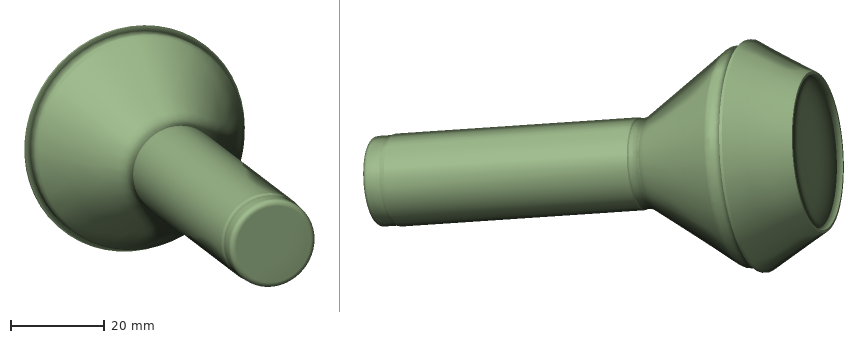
import cadquery as cq

length = 100.0

cap_length = 13.9
rim_width = 0.6
rim_radius = 25.1
cap_front_radius = 17.4
opening_radius = 16.8

face_depth = 1.2
face_radius = 16.3
head_radius = 48.0 / 2
head_shoulder = 17.1
taper_end = 37.8
head_fillet = 2.5
neck_fillet = 3.0

shaft_radius = 20.0 / 2
neck_radius = 19.5 / 2
shaft_start = 39.9
shaft_end = 94.9
shaft_chamfer = shaft_radius - neck_radius
tail_start = 95.9
tail_fillet = 1.2


def revolve_about_x(profile):
    return profile.close().revolve(360, (0, 0, 0), (1, 0, 0))


def make_cap():
    """Tapered ring that fits around the front of the head."""
    profile = (
        cq.Workplane("XY")
        .moveTo(0, opening_radius)
        .lineTo(0, cap_front_radius)
        .lineTo(cap_length - rim_width, rim_radius)
        .lineTo(cap_length, rim_radius)
        .lineTo(cap_length, head_radius)
        .lineTo(face_depth, face_radius)
    )
    return revolve_about_x(profile)


def make_handle():
    """Head, neck, shaft and tail in one turned piece."""
    profile = (
        cq.Workplane("XY")
        .moveTo(face_depth, 0)
        .lineTo(face_depth, face_radius)
        .lineTo(cap_length, head_radius)
        .lineTo(head_shoulder, head_radius)
        .lineTo(taper_end, neck_radius)
        .lineTo(shaft_start - shaft_chamfer, neck_radius)
        .lineTo(shaft_start, shaft_radius)
        .lineTo(shaft_end, shaft_radius)
        .lineTo(tail_start, neck_radius)
        .lineTo(length, neck_radius)
        .lineTo(length, 0)
    )
    body = revolve_about_x(profile)
    body = round_circle(body, head_shoulder, head_fillet)
    body = round_circle(body, taper_end, neck_fillet)
    return round_circle(body, length, tail_fillet)


def round_circle(body, x, radius):
    """Fillet the circular edge that lies in the plane at x."""
    half_width = 0.1
    reach = 2 * rim_radius
    selector = cq.selectors.BoxSelector(
        (x - half_width, -reach, -reach),
        (x + half_width, reach, reach),
        boundingbox=True,
    )
    return body.edges(selector).fillet(radius)


cap = make_cap()
handle = make_handle()

result = cq.Compound.makeCompound([cap.val(), handle.val()])